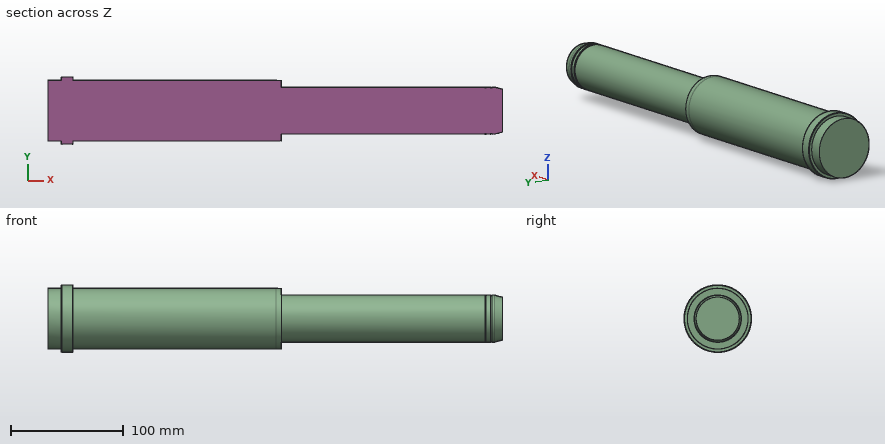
import cadquery as cq
import math

total_length = 403.0

body_radius = 54.0 / 2
body_length = 207.0
lead_in_length = 5.0
lead_in_drop = 0.1

collar_radius = 60.0 / 2
collar_start = 11.75
collar_length = 10.5
collar_chamfer = 0.5

pin_radius = 42.0 / 2
tip_length = 7.0
tip_taper_angle = 15.0
tip_start = total_length - tip_length
tip_radius = pin_radius - tip_length * math.tan(math.radians(tip_taper_angle))

groove_width = 1.0
groove_depth = 0.5
groove_pitch = 5.0
groove_count = 2
last_groove_setback = 3.5
last_groove_start = tip_start - last_groove_setback


def make_tapered_shaft(radius, taper_start, end, end_radius):
    """Solid shaft from X = 0 that stays cylindrical up to taper_start, then tapers to its end."""
    profile = (
        cq.Workplane("XY")
        .lineTo(0, radius)
        .lineTo(taper_start, radius)
        .lineTo(end, end_radius)
        .lineTo(end, 0)
        .close()
    )
    return profile.revolve(360, (0, 0, 0), (1, 0, 0))


def make_collar():
    """Disc around the body with both rims chamfered."""
    collar = cq.Workplane("YZ", origin=(collar_start, 0, 0)).circle(collar_radius).extrude(collar_length)
    return collar.edges().chamfer(collar_chamfer)


def make_groove(start):
    """Ring cutter that reaches beyond the pin surface by as much as it cuts into it."""
    ring = cq.Workplane("YZ", origin=(start, 0, 0)).circle(pin_radius + groove_depth)
    return ring.circle(pin_radius - groove_depth).extrude(groove_width)


body = make_tapered_shaft(body_radius, body_length - lead_in_length, body_length, body_radius - lead_in_drop)
pin = make_tapered_shaft(pin_radius, tip_start, total_length, tip_radius)

result = body.union(make_collar()).union(pin)
for index in range(groove_count):
    result = result.cut(make_groove(last_groove_start - index * groove_pitch))